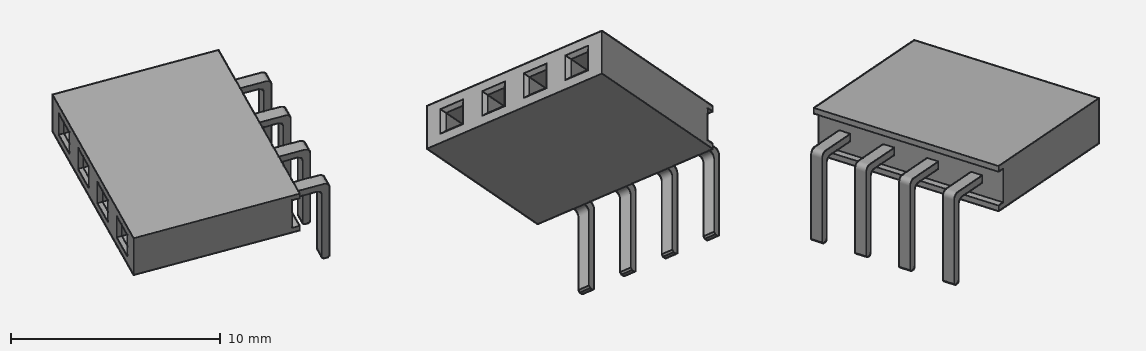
import cadquery as cq


body_width = 10.67
body_length = 8.5
body_height = 2.43

lip_length = 0.4
lip_thickness = 0.31

contact_count = 4
pitch = 2.54

mouth_size = 1.4
socket_size = 1.01
lead_in_depth = (mouth_size - socket_size) / 2
socket_depth = 6.0

pin_width = 0.65
pin_thickness = 0.4
pin_reach = 10.5
pin_drop = 3.5
bend_radius = 0.3
tip_chamfer = 0.1

mid_height = body_height / 2
channel_floor = body_length - lip_length
contact_positions = [(i - (contact_count - 1) / 2) * pitch for i in range(contact_count)]


def make_housing():
    """Block with a full-width channel in its back face."""
    block = cq.Workplane("XY").box(body_width, body_length, body_height, centered=(True, False, False))
    channel = (
        cq.Workplane("XY", origin=(0, channel_floor, lip_thickness))
        .box(body_width, lip_length, body_height - 2 * lip_thickness, centered=(True, False, False))
    )
    return block.cut(channel)


def make_socket(x):
    """Blind square hole with a tapered lead-in at the mating face."""
    mouth = cq.Workplane("XZ", origin=(x, 0, mid_height))
    lead_in = (
        mouth.rect(mouth_size, mouth_size)
        .workplane(offset=-lead_in_depth)
        .rect(socket_size, socket_size)
        .loft(ruled=True)
    )
    hole = mouth.rect(socket_size, socket_size).extrude(-socket_depth)
    return hole.union(lead_in)


def make_pin(x):
    """Flat pin leaving the channel floor and bending down to a chamfered tip."""
    pin_top = mid_height + pin_thickness / 2
    pin_bottom = mid_height - pin_thickness / 2
    leg_inside = pin_reach - pin_thickness
    pin = (
        cq.Workplane("YZ", origin=(x, 0, 0))
        .moveTo(channel_floor, pin_top)
        .lineTo(pin_reach, pin_top)
        .lineTo(pin_reach, -pin_drop)
        .lineTo(leg_inside, -pin_drop)
        .lineTo(leg_inside, pin_bottom)
        .lineTo(channel_floor, pin_bottom)
        .close()
        .extrude(pin_width / 2, both=True)
    )
    outside_bend = cq.selectors.NearestToPointSelector((x, pin_reach, pin_top))
    inside_bend = cq.selectors.NearestToPointSelector((x, leg_inside, pin_bottom))
    pin = pin.edges("|X").edges(outside_bend).fillet(bend_radius)
    pin = pin.edges("|X").edges(inside_bend).fillet(bend_radius)
    return pin.faces("<Z").edges("|X").chamfer(tip_chamfer)


result = make_housing()
for position in contact_positions:
    result = result.cut(make_socket(position))
    result = result.union(make_pin(position))